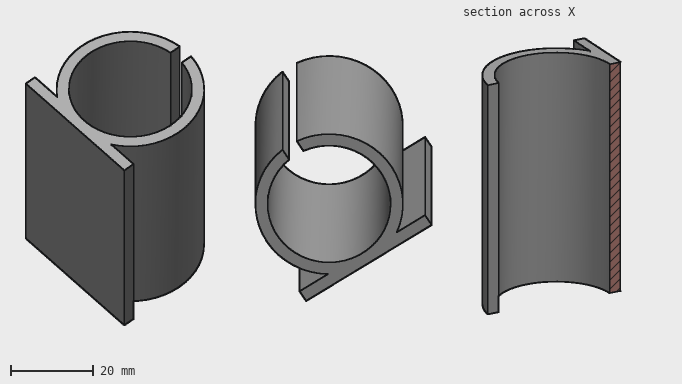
import cadquery as cq

bore_diameter = 30.0
wall = 3.0
length = 60.0
plate_width = 36.33
slot_width = 4.1

bore_radius = bore_diameter / 2
outer_radius = bore_radius + wall


def make_tube_blank():
    """Solid cylinder along Z that becomes the clip ring."""
    return cq.Workplane("XY").circle(outer_radius).extrude(length)


def make_plate():
    """Flat mounting plate whose back face is tangent to the ring on the -Y side."""
    return (
        cq.Workplane("XY")
        .center(0, -outer_radius + wall / 2)
        .rect(plate_width, wall)
        .extrude(length)
    )


def make_bore():
    """Through bore of the clip ring."""
    return cq.Workplane("XY").circle(bore_radius).extrude(length)


def make_slot():
    """Full-length opening through the ring wall on the +Y side."""
    return (
        cq.Workplane("XY")
        .center(0, outer_radius / 2)
        .rect(slot_width, outer_radius)
        .extrude(length)
    )


result = make_tube_blank().union(make_plate()).cut(make_bore()).cut(make_slot())